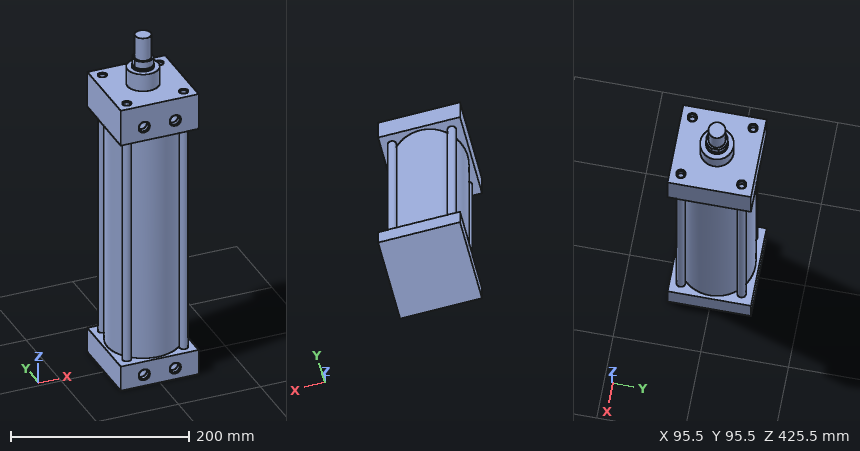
import cadquery as cq
import math

TOTAL_HEIGHT = 425.5
BLOCK_WIDTH = 95.5

CAP_HEIGHT = 31.5
HEAD_HEIGHT = 45.0
HEAD_TOP = 362.5
HEAD_BOTTOM = HEAD_TOP - HEAD_HEIGHT

TUBE_DIAMETER = 87.5
TIE_ROD_DIAMETER = 10.0
TIE_ROD_SPACING = 69.5

NUT_DIAMETER = 18.5
NUT_THICKNESS = 8.5
NUT_HOLE_DIAMETER = 8.0
NUT_HOLE_MOUTH = 10.5
NUT_HOLE_DEPTH = 8.5

RETAINER_DIAMETER = 69.8
RETAINER_THICKNESS = 8.5
BOSS_DIAMETER = 38.0
BOSS_TOP = 384.0
LIP_DIAMETER = 25.0
LIP_TOP = 387.5
LIP_CHAMFER_WIDTH = 0.5
LIP_CHAMFER_HEIGHT = 1.3

PORT_SPACING = 38.0
PORT_DIAMETER = 11.5
PORT_MOUTH = 14.0
PORT_DEPTH = 6.5
CAP_PORT_HEIGHT = 14.5
HEAD_PORT_HEIGHT = 335.0
DRILL_POINT_ANGLE = 118.0

ROD_DIAMETER = 24.3
ROD_END_DIAMETER = 19.0
ROD_SHOULDER = 396.5
FLAT_WIDTH = 23.0


def cylinder(diameter, bottom, top):
    """Upright cylinder on the Z axis."""
    return cq.Workplane("XY").workplane(offset=bottom).circle(diameter / 2).extrude(top - bottom)


def square_block(bottom, top):
    """Square end block centred on the Z axis."""
    return cq.Workplane("XY").workplane(offset=bottom).rect(BLOCK_WIDTH, BLOCK_WIDTH).extrude(top - bottom)


def at_tie_rods(diameter, bottom, top):
    """Four upright cylinders, one on each tie-rod axis."""
    corners = cq.Workplane("XY").workplane(offset=bottom).rect(
        TIE_ROD_SPACING, TIE_ROD_SPACING, forConstruction=True
    ).vertices()
    return corners.circle(diameter / 2).extrude(top - bottom)


def drilled_hole(diameter, mouth_diameter, depth):
    """Countersunk blind hole with a drill point, its mouth at the origin and running down -Z."""
    radius = diameter / 2
    mouth_radius = mouth_diameter / 2
    sink = mouth_radius - radius
    point = radius / math.tan(math.radians(DRILL_POINT_ANGLE / 2))
    profile = [(0, 0), (mouth_radius, 0), (radius, -sink), (radius, -depth), (0, -depth - point)]
    return cq.Workplane("XZ").polyline(profile).close().revolve(360, (0, 0), (0, 1))


def make_lip():
    """Wiper lip on the boss, with a steep chamfer round its top edge."""
    radius = LIP_DIAMETER / 2
    chamfer_bottom = LIP_TOP - LIP_CHAMFER_HEIGHT
    profile = [
        (0, BOSS_TOP),
        (radius, BOSS_TOP),
        (radius, chamfer_bottom),
        (radius - LIP_CHAMFER_WIDTH, LIP_TOP),
        (0, LIP_TOP),
    ]
    return cq.Workplane("XZ").polyline(profile).close().revolve(360, (0, 0), (0, 1))


def make_ports():
    """Two ports in each end block, all entering from the -Y face."""
    port = drilled_hole(PORT_DIAMETER, PORT_MOUTH, PORT_DEPTH).rotate((0, 0, 0), (1, 0, 0), 90)
    ports = cq.Workplane("XY")
    for height in (CAP_PORT_HEIGHT, HEAD_PORT_HEIGHT):
        for side in (-1, 1):
            ports = ports.add(port.translate((side * PORT_SPACING / 2, -BLOCK_WIDTH / 2, height)))
    return ports.combine()


def make_nut_holes():
    """Tapped holes on the four tie-rod axes, entering from the top of the head."""
    hole = drilled_hole(NUT_HOLE_DIAMETER, NUT_HOLE_MOUTH, NUT_HOLE_DEPTH)
    holes = cq.Workplane("XY")
    for x_side in (-1, 1):
        for y_side in (-1, 1):
            place = (x_side * TIE_ROD_SPACING / 2, y_side * TIE_ROD_SPACING / 2, HEAD_TOP)
            holes = holes.add(hole.translate(place))
    return holes.combine()


def make_gland():
    """Retainer disc, boss and wiper lip, bored for the rod."""
    gland = cylinder(RETAINER_DIAMETER, HEAD_TOP - RETAINER_THICKNESS, HEAD_TOP)
    gland = gland.union(cylinder(BOSS_DIAMETER, HEAD_TOP, BOSS_TOP)).union(make_lip())
    return gland.cut(cylinder(ROD_DIAMETER, HEAD_BOTTOM, LIP_TOP))


def make_housing():
    """End blocks, tube, tie rods, nuts and gland as one solid."""
    housing = square_block(0, CAP_HEIGHT).union(square_block(HEAD_BOTTOM, HEAD_TOP))
    housing = housing.union(cylinder(TUBE_DIAMETER, CAP_HEIGHT, HEAD_BOTTOM))
    housing = housing.union(at_tie_rods(TIE_ROD_DIAMETER, CAP_HEIGHT, HEAD_BOTTOM))
    housing = housing.cut(make_ports())
    housing = housing.cut(cylinder(ROD_DIAMETER, HEAD_BOTTOM, HEAD_TOP))
    nuts = at_tie_rods(NUT_DIAMETER, HEAD_TOP - NUT_THICKNESS, HEAD_TOP)
    retainer_seat = cylinder(RETAINER_DIAMETER, HEAD_TOP - RETAINER_THICKNESS, HEAD_TOP)
    housing = housing.cut(retainer_seat).cut(nuts)
    housing = housing.union(make_gland(), clean=False).union(nuts, clean=False)
    return housing.cut(make_nut_holes(), clean=False)


def make_rod():
    """Piston rod with a thinner end and two wrench flats facing -X and +X."""
    rod = cylinder(ROD_DIAMETER, HEAD_BOTTOM, LIP_TOP)
    flat_height = ROD_SHOULDER - LIP_TOP
    flat_part = cylinder(ROD_DIAMETER, LIP_TOP, ROD_SHOULDER).intersect(
        cq.Workplane("XY").workplane(offset=LIP_TOP).rect(FLAT_WIDTH, ROD_DIAMETER).extrude(flat_height)
    )
    return rod.union(flat_part).union(cylinder(ROD_END_DIAMETER, ROD_SHOULDER, TOTAL_HEIGHT))


housing = make_housing()
rod = make_rod()
result = cq.Compound.makeCompound([housing.solids().val(), rod.solids().val()])